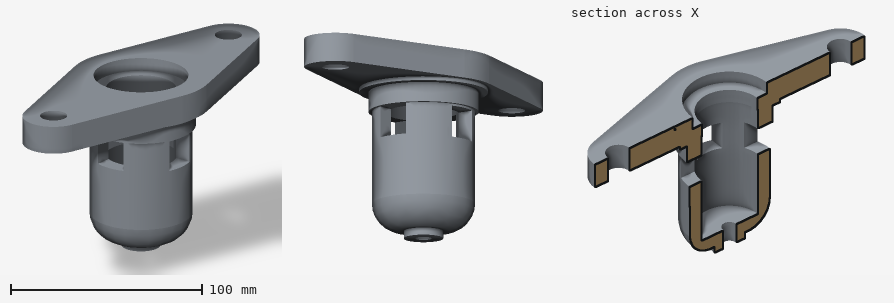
import cadquery as cq
import math

length = 181.0
width = 73.8
plate_thickness = 15.0
end_radius = 16.3
middle_radius = width / 2
bolt_offset = length / 2 - end_radius
bolt_hole_diameter = 14.1

rim_diameter = 67.3
rim_bottom = 17.0
collar_diameter = 57.5
collar_bottom = 27.3
cup_diameter = 54.0
cup_bottom = 90.8
cup_round = 14.7
boss_diameter = 20.6
boss_bottom = 94.6

recess_diameter = 49.5
recess_depth = 7.0
bore_diameter = 36.5
cavity_diameter = 37.3
cavity_top = plate_thickness
floor_thickness = (cup_diameter - cavity_diameter) / 2
drain_diameter = 8.5

window_width = 17.0
window_height = 16.5
window_x_drop = 1.0


def cylinder(diameter, top, bottom):
    """Vertical cylinder between two depths below the top face."""
    return cq.Workplane("XY").workplane(offset=-bottom).circle(diameter / 2).extrude(bottom - top)


def make_plate():
    """Plate outlined by a large middle arc and two end arcs joined by tangent lines."""
    lean = math.asin((middle_radius - end_radius) / bolt_offset)
    middle_x = middle_radius * math.cos(lean)
    middle_y = middle_radius * math.sin(lean)
    end_x = end_radius * math.cos(lean)
    end_y = bolt_offset + end_radius * math.sin(lean)
    outline = (
        cq.Workplane("XY")
        .moveTo(middle_x, -middle_y)
        .threePointArc((middle_radius, 0), (middle_x, middle_y))
        .lineTo(end_x, end_y)
        .threePointArc((0, length / 2), (-end_x, end_y))
        .lineTo(-middle_x, middle_y)
        .threePointArc((-middle_radius, 0), (-middle_x, -middle_y))
        .lineTo(-end_x, -end_y)
        .threePointArc((0, -length / 2), (end_x, -end_y))
        .close()
    )
    plate = outline.extrude(-plate_thickness)
    bolt_hole = cylinder(bolt_hole_diameter, 0, plate_thickness)
    for side in (-1, 1):
        plate = plate.cut(bolt_hole.translate((0, side * bolt_offset, 0)))
    return plate


def make_cup():
    """Solid cup with its rim, collar, rounded bottom and boss."""
    cup = cylinder(cup_diameter, plate_thickness, cup_bottom).faces("<Z").edges().fillet(cup_round)
    rim = cylinder(rim_diameter, plate_thickness, rim_bottom)
    collar = cylinder(collar_diameter, rim_bottom, collar_bottom)
    boss = cylinder(boss_diameter, cup_bottom - floor_thickness, boss_bottom)
    return cup.union(rim).union(collar).union(boss)


def make_bore():
    """Recess, bore, cup cavity and drain hole on the central axis."""
    recess = cylinder(recess_diameter, 0, recess_depth)
    bore = cylinder(bore_diameter, 0, cavity_top)
    cavity = cylinder(cavity_diameter, cavity_top, cup_bottom - floor_thickness)
    drain = cylinder(drain_diameter, 0, boss_bottom)
    return recess.union(bore).union(cavity).union(drain)


def make_window(x_size, y_size, top):
    """Box that opens a pair of opposite windows through the cup."""
    window = cq.Workplane("XY").box(x_size, y_size, window_height)
    return window.translate((0, 0, -top - window_height / 2))


result = (
    make_plate()
    .union(make_cup())
    .cut(make_bore())
    .cut(make_window(window_width, collar_diameter, collar_bottom))
    .cut(make_window(collar_diameter, window_width, collar_bottom + window_x_drop))
)